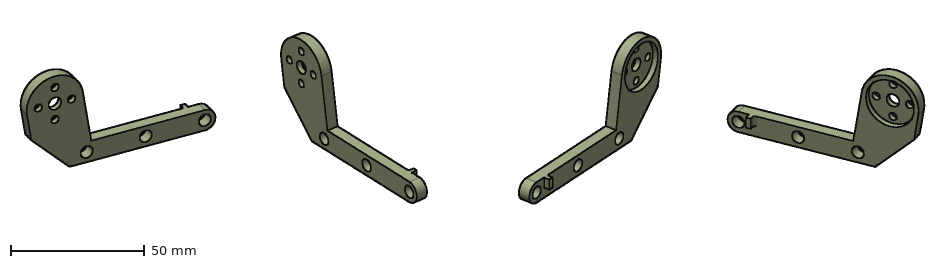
import cadquery as cq
import math

thickness = 5.0
arm_half_height = 4.5
arm_hole_diameter = 5.0
arm_hole_spacing = 25.0
arm_hole_count = 3
arm_bottom_length = 57.2

head_radius = 12.0
head_y = -63.4
head_z = 25.0
side_lean = math.radians(9)
bottom_slope = math.radians(45)
pocket_diameter = 20.0
pocket_depth = 2.5
center_hole_diameter = 5.3
bolt_hole_diameter = 3.1
bolt_circle_radius = 7.0
bolt_hole_count = 4

tab_start = 4.5
tab_width = 2.0
tab_height = arm_half_height
tab_projection = 2.5
tab_fillet_radius = 0.95


def cylinder_x(y, z, diameter, depth):
    """Cylinder running from the -X face into the plate."""
    return cq.Workplane("YZ").center(y, z).circle(diameter / 2).extrude(depth)


def make_plate():
    lean_cos = math.cos(side_lean)
    lean_sin = math.sin(side_lean)
    lean_tan = math.tan(side_lean)

    inner_tangent = (head_y + head_radius * lean_cos, head_z + head_radius * lean_sin)
    outer_tangent = (head_y - head_radius * lean_cos, head_z - head_radius * lean_sin)
    head_top = (head_y, head_z + head_radius)

    inner_drop = inner_tangent[1] - arm_half_height
    inner_corner = (inner_tangent[0] + inner_drop * lean_tan, arm_half_height)

    slope_tan = math.tan(bottom_slope)
    bottom_corner = (-arm_bottom_length, -arm_half_height)
    tangent_rise = outer_tangent[1] - bottom_corner[1]
    tangent_run = bottom_corner[0] - outer_tangent[0]
    outer_drop = (tangent_rise - tangent_run * slope_tan) / (1 - lean_tan * slope_tan)
    outer_corner = (outer_tangent[0] + outer_drop * lean_tan, outer_tangent[1] - outer_drop)

    return (
        cq.Workplane("YZ")
        .moveTo(0, arm_half_height)
        .lineTo(*inner_corner)
        .lineTo(*inner_tangent)
        .threePointArc(head_top, outer_tangent)
        .lineTo(*outer_corner)
        .lineTo(*bottom_corner)
        .lineTo(0, -arm_half_height)
        .threePointArc((arm_half_height, 0), (0, arm_half_height))
        .close()
        .extrude(thickness)
    )


def make_tab():
    tab_end_y = -tab_start - tab_width
    fillet_mid = tab_fillet_radius * (1 - math.sqrt(0.5))
    embed = thickness / 2
    return (
        cq.Workplane("XY")
        .moveTo(embed, -tab_start)
        .lineTo(-tab_projection, -tab_start)
        .lineTo(-tab_projection, tab_end_y)
        .lineTo(-tab_fillet_radius, tab_end_y)
        .threePointArc((-fillet_mid, tab_end_y - fillet_mid), (0, tab_end_y - tab_fillet_radius))
        .lineTo(embed, tab_end_y - tab_fillet_radius)
        .close()
        .extrude(tab_height)
    )


result = make_plate().union(make_tab())

for index in range(arm_hole_count):
    result = result.cut(cylinder_x(-index * arm_hole_spacing, 0, arm_hole_diameter, thickness))

result = result.cut(cylinder_x(head_y, head_z, pocket_diameter, pocket_depth))
result = result.cut(cylinder_x(head_y, head_z, center_hole_diameter, thickness))
for index in range(bolt_hole_count):
    angle = 2 * math.pi * index / bolt_hole_count
    bolt_y = head_y + bolt_circle_radius * math.cos(angle)
    bolt_z = head_z + bolt_circle_radius * math.sin(angle)
    result = result.cut(cylinder_x(bolt_y, bolt_z, bolt_hole_diameter, thickness))